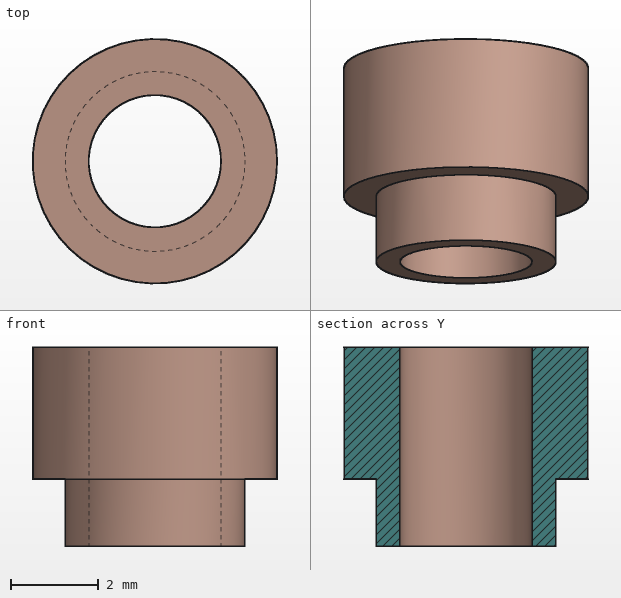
import cadquery as cq

head_diameter = 5.56
head_height = 3.0
spigot_diameter = 4.09
spigot_length = 1.53
bore_diameter = 3.0

total_height = head_height + spigot_length


def cylinder(diameter, height, base_z):
    """Upright cylinder on the Z axis with its lower face at base_z."""
    return cq.Workplane("XY").workplane(offset=base_z).circle(diameter / 2).extrude(height)


head = cylinder(head_diameter, head_height, 0)
spigot = cylinder(spigot_diameter, spigot_length, -spigot_length)

bore = cylinder(bore_diameter, total_height, -spigot_length)

result = head.union(spigot).cut(bore)